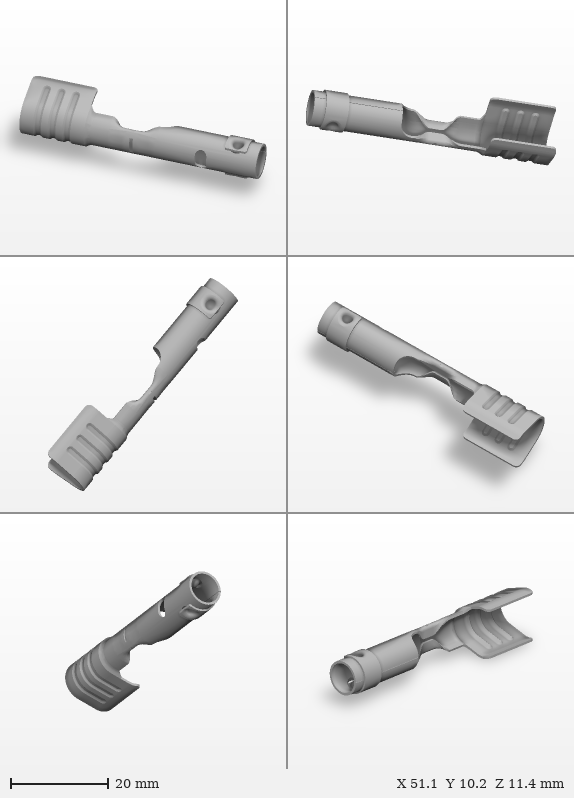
import math

import cadquery as cq

length = 51.05
wall = 0.5
tube_radius = 3.7
flare_angle = 17.6

barrel_end = 13.95
conductor_start = 15.2
conductor_end = 19.0
waist_start = 22.75
waist_end = 25.2
tube_start = 29.25

barrel_bottom = -4.2
barrel_half_height = 5.7
lip_crest_y = 4.2
lip_radius = 3.7
lip_bend_y = 4.8
lip_tip_y = 5.95
lip_corner = 1.1
neck_top_y = 1.1

bead_count = 3
bead_first_x = 3.8
bead_pitch = 3.15
bead_width = 1.75
bead_floor_width = 0.8
bead_depth = 0.35
bead_end_y = 2.45
bead_overlap = 0.1

waist_half_width = 2.95
waist_top_y = -1.35
waist_slit = 0.9
groove_width = 0.7
groove_depth = 0.45
groove_flank_depth = 0.1
rib_margin = 0.25

mouth_radius = 3.05
seam_gap = 0.1
slot_center_x = 39.1
slot_width = 2.5
slot_length = 4.6

clip_start = 43.8
clip_end = 48.6
clip_wall = 0.4
clip_radius = tube_radius + clip_wall
clip_end_y = -2.2
clip_corner = 0.45
dimple_x = 46.25
dimple_y = -0.35
dimple_radius = 1.1
dimple_blend = 0.8
dimple_center_z = 3.55
dimple_hole_radius = 2.1

taper_stations = 6
even_split = 45
tube_flare = 2

sin_flare = math.sin(math.radians(flare_angle))
cos_flare = math.cos(math.radians(flare_angle))

lip_center_z = barrel_half_height - lip_radius
barrel_radius = (
    lip_radius + lip_center_z * cos_flare - (lip_crest_y - barrel_bottom) * sin_flare
) / (1 - sin_flare)
barrel_center_y = barrel_bottom + barrel_radius


def section_plane(x):
    """Plane across the terminal at x, with its local axes along Y and Z."""
    return cq.Workplane("YZ", origin=(x, 0, 0))


def polar(center, radius, degrees):
    angle = math.radians(degrees)
    return (center[0] + radius * math.cos(angle), center[1] + radius * math.sin(angle))


def mirrored(point):
    """The point at opposite Z; None, which marks a straight stretch, stays None."""
    return point and (point[0], -point[1])




def trace(outline, corners, middles):
    """Continue an outline from corners[0] through the other corners."""
    for corner, middle in zip(corners[1:], middles):
        if middle is None:
            outline = outline.lineTo(*corner)
        else:
            outline = outline.threePointArc(middle, corner)
    return outline


def sheet_section(x, outer, inner):
    """Closed section between an outer and an inner sheet face, mirrored about Z = 0."""
    bottom, corners, middles = outer
    in_bottom, in_corners, in_middles = inner
    outline = section_plane(x).moveTo(*mirrored(corners[0])).threePointArc(bottom, corners[0])
    outline = trace(outline, corners, middles).lineTo(*in_corners[-1])
    outline = trace(outline, in_corners[::-1], in_middles[::-1])
    outline = outline.threePointArc(in_bottom, mirrored(in_corners[0]))
    outline = trace(outline, [mirrored(p) for p in in_corners], [mirrored(p) for p in in_middles])
    outline = outline.lineTo(*mirrored(corners[-1]))
    outline = trace(
        outline, [mirrored(p) for p in corners[::-1]], [mirrored(p) for p in middles[::-1]]
    )
    return outline.close()


def channel_face(radius, center_y, split, side_radius, sweep, leg):
    """Bottom arc up to `split` degrees, tangent side arc up to `sweep` degrees, then a leg."""
    center = (center_y, 0)
    side_center = polar(center, radius - side_radius, 180 - split)
    start = polar(side_center, side_radius, 180 - split)
    middle = polar(side_center, side_radius, 180 - (split + sweep) / 2)
    end = polar(side_center, side_radius, 180 - sweep)
    tip = polar(end, leg, 90 - sweep)
    return (center_y - radius, 0), [start, end, tip], [middle, None]


def channel(radius, center_y, split, side_radius, sweep, leg):
    """Outer and inner face of a channel, given by the sizes of its outer face."""
    outer = channel_face(radius, center_y, split, side_radius, sweep, leg)
    inner = channel_face(radius - wall, center_y, split, side_radius - wall, sweep, leg)
    return outer, inner


def flared_channel(radius, center_y, flare, top_y):
    """Round-bottomed channel whose straight legs lean outwards by `flare` degrees."""
    lean = math.radians(flare)
    leg = (top_y - center_y + radius * math.sin(lean)) / math.cos(lean)
    return channel(radius, center_y, even_split, radius, 90 - flare, leg)


def curled_channel(radius, half_width, top_y, slit):
    """Channel on the X axis with its sides curled right over to leave a slit at the top."""
    half_linear_term = radius - half_width - top_y
    constant_term = half_width**2 + top_y**2 - radius**2
    side_radius = math.sqrt(half_linear_term**2 - constant_term) - half_linear_term
    side_z = half_width - side_radius
    split = math.degrees(math.asin(side_z / (radius - side_radius)))
    return channel(radius, 0, split, side_radius, 180, side_z - slit / 2)


def blend_points(start, end, share):
    """Point part of the way from start to end; None for a straight stretch stays None."""
    return start and tuple(a + (b - a) * share for a, b in zip(start, end))


def blend_faces(start, end, share):
    bottom = blend_points(start[0], end[0], share)
    corners = [blend_points(a, b, share) for a, b in zip(start[1], end[1])]
    middles = [blend_points(a, b, share) for a, b in zip(start[2], end[2])]
    return bottom, corners, middles


def ease_both_ends(t):
    return (1 - math.cos(math.pi * t)) / 2


def ease_out(t):
    return math.sin(math.pi * t / 2)


def loft_channel(start_x, end_x, start, end, ease):
    """Smooth channel that eases from one channel section to another."""
    wires = []
    for i in range(taper_stations):
        t = i / (taper_stations - 1)
        outer, inner = (blend_faces(a, b, ease(t)) for a, b in zip(start, end))
        wires.append(sheet_section(start_x + (end_x - start_x) * t, outer, inner).val())
    return cq.Workplane(cq.Solid.makeLoft(wires))


neck_channel = flared_channel(barrel_radius, barrel_center_y, flare_angle, neck_top_y)
conductor_channel = flared_channel(tube_radius, 0, flare_angle, 0)
waist_channel = curled_channel(tube_radius, waist_half_width, waist_top_y, waist_slit)
half_tube_channel = flared_channel(tube_radius, 0, tube_flare, 0)




def barrel_face(inset):
    """Barrel face at a depth `inset` below the outer one."""
    center = (barrel_center_y, 0)
    lip_center = (lip_crest_y, lip_center_z)
    droop = math.degrees(math.asin((lip_bend_y - lip_crest_y) / lip_radius))
    leg_start = polar(center, barrel_radius - inset, 90 + flare_angle)
    leg_end = polar(lip_center, lip_radius - inset, 90 + flare_angle)
    crest = polar(lip_center, lip_radius - inset, 90)
    bend = polar(lip_center, lip_radius - inset, 90 - droop)
    tip = (lip_tip_y, bend[1] - (lip_tip_y - bend[0]) * math.tan(math.radians(droop)))
    return (barrel_bottom + inset, 0), [leg_start, leg_end, bend, tip], [None, crest, None]


def barrel_shell():
    shell = sheet_section(0, barrel_face(0), barrel_face(wall)).extrude(barrel_end)
    rounded_block = (
        cq.Workplane("XY")
        .rect(barrel_end, 2 * lip_tip_y)
        .extrude(barrel_half_height, both=True)
        .edges("|Z and >Y")
        .fillet(lip_corner)
        .translate((barrel_end / 2, 0, 0))
    )
    return shell.intersect(rounded_block)


def bead(x, inset):
    """Tapered ridge running round the barrel, with its wide face `inset` below the outer face."""
    flank_slope = (bead_width - bead_floor_width) / 2 / bead_depth
    half_top = bead_width / 2 + flank_slope * bead_overlap
    half_floor = bead_floor_width / 2
    depth = bead_depth + bead_overlap

    bottom, corners, _ = barrel_face(inset - bead_overlap)
    leg_start = corners[0]
    run = (bead_end_y - leg_start[0]) / cos_flare
    leg_end = polar(leg_start, run, flare_angle)
    path = (
        section_plane(x)
        .moveTo(*mirrored(leg_end))
        .lineTo(*mirrored(leg_start))
        .threePointArc(bottom, leg_start)
        .lineTo(*leg_end)
    )
    start_plane = cq.Plane(
        origin=(x, leg_end[0], -leg_end[1]), xDir=(1, 0, 0), normal=(0, -cos_flare, sin_flare)
    )
    ridge = (
        cq.Workplane(start_plane)
        .polyline([(-half_top, 0), (half_top, 0), (half_floor, depth), (-half_floor, depth)])
        .close()
        .sweep(path)
    )
    for sign in (1, -1):
        end_plane = cq.Plane(
            origin=(x, leg_end[0], sign * leg_end[1]),
            xDir=(1, 0, 0),
            normal=(0, sin_flare, -sign * cos_flare),
        )
        rounded_end = (
            cq.Workplane(end_plane)
            .circle(half_top)
            .workplane(offset=depth)
            .circle(half_floor)
            .loft()
        )
        ridge = ridge.union(rounded_end)
    return ridge


def barrel():
    body = barrel_shell()
    for i in range(bead_count):
        x = bead_first_x + i * bead_pitch
        body = body.union(bead(x, wall)).cut(bead(x, 0))
    return body




def waist():
    body = sheet_section(waist_start, *waist_channel).extrude(waist_end - waist_start)
    middle = (waist_start + waist_end) / 2
    groove_top = -tube_radius + groove_depth
    groove = cq.Workplane("XY").box(groove_width, 2 * groove_depth, 2 * waist_half_width)
    groove = groove.translate((middle, -tube_radius, 0))
    rib = (
        section_plane(middle)
        .circle(tube_radius)
        .extrude(groove_width / 2 + rib_margin, both=True)
    )
    rib_space = cq.Workplane("XY").box(waist_end - waist_start, 2 * tube_radius, 2 * tube_radius)
    rib = rib.intersect(rib_space.translate((middle, groove_top + wall - tube_radius, 0)))
    body = body.union(rib).cut(groove)
    for sign in (1, -1):
        flank = cq.Workplane("XY").box(groove_width, tube_radius, 2 * groove_flank_depth)
        body = body.cut(flank.translate((middle, -tube_radius / 2, sign * waist_half_width)))
    return body




def tube():
    body = (
        section_plane(tube_start)
        .circle(tube_radius)
        .circle(tube_radius - wall)
        .extrude(length - tube_start)
    )
    mouth = (
        cq.Workplane("XY")
        .moveTo(tube_start, 0)
        .threePointArc(
            polar((tube_start, mouth_radius), mouth_radius, -45),
            (tube_start + mouth_radius, mouth_radius),
        )
        .lineTo(tube_start + mouth_radius, 2 * tube_radius)
        .lineTo(tube_start, 2 * tube_radius)
        .close()
        .extrude(tube_radius, both=True)
    )
    seam = cq.Workplane("XY").box(length, tube_radius, seam_gap, centered=(False, False, True))
    slot = (
        cq.Workplane("XZ", origin=(slot_center_x, 0, 0))
        .slot2D(slot_length, slot_width, 90)
        .extrude(tube_radius)
    )
    dimple_holes = (
        cq.Workplane("XY", origin=(dimple_x, dimple_y, 0))
        .circle(dimple_hole_radius)
        .extrude(tube_radius, both=True)
    )
    return body.cut(mouth).cut(seam).cut(slot).cut(dimple_holes)


def terminal_body():
    neck = loft_channel(barrel_end, conductor_start, neck_channel, conductor_channel, ease_out)
    conductor = sheet_section(conductor_start, *conductor_channel).extrude(
        conductor_end - conductor_start
    )
    front_taper = loft_channel(
        conductor_end, waist_start, conductor_channel, waist_channel, ease_both_ends
    )
    rear_taper = loft_channel(
        waist_end, tube_start, waist_channel, half_tube_channel, ease_both_ends
    )
    body = barrel()
    for piece in (neck, conductor, front_taper, waist(), rear_taper, tube()):
        body = body.union(piece)
    return body.solids()




def pressing(radius, sign):
    """Round-nosed punch shape along Z at the dimple."""
    nose = cq.Workplane("XY").sphere(radius).translate((dimple_x, dimple_y, sign * dimple_center_z))
    shank = (
        cq.Workplane("XY", origin=(dimple_x, dimple_y, sign * dimple_center_z))
        .circle(radius)
        .extrude(sign * clip_radius)
    )
    return nose.union(shank)


def spring_clip():
    width = clip_end - clip_start
    body = section_plane(clip_start).circle(clip_radius).extrude(width)
    core = section_plane(clip_start).circle(tube_radius).extrude(width)
    for sign in (1, -1):
        body = body.cut(pressing(dimple_radius, sign))
        core = core.cut(pressing(dimple_radius + clip_wall, sign))
        rim = cq.selectors.BoxSelector(
            (clip_start + clip_wall, -clip_radius, sign * dimple_center_z),
            (clip_end - clip_wall, clip_radius, sign * 2 * clip_radius),
            boundingbox=False,
        )
        body = body.edges(rim).edges("not #X").fillet(dimple_blend)
        core = core.edges(rim).edges("not #X").fillet(dimple_blend - clip_wall)
    wrap_block = (
        cq.Workplane("XY")
        .box(width, clip_radius - clip_end_y, 3 * clip_radius)
        .edges("|Z and <Y")
        .fillet(clip_corner)
        .translate(((clip_start + clip_end) / 2, (clip_radius + clip_end_y) / 2, 0))
    )
    return body.cut(core).intersect(wrap_block).solids()


terminal = terminal_body()
clip = spring_clip()
result = cq.Compound.makeCompound([terminal.val(), clip.val()])